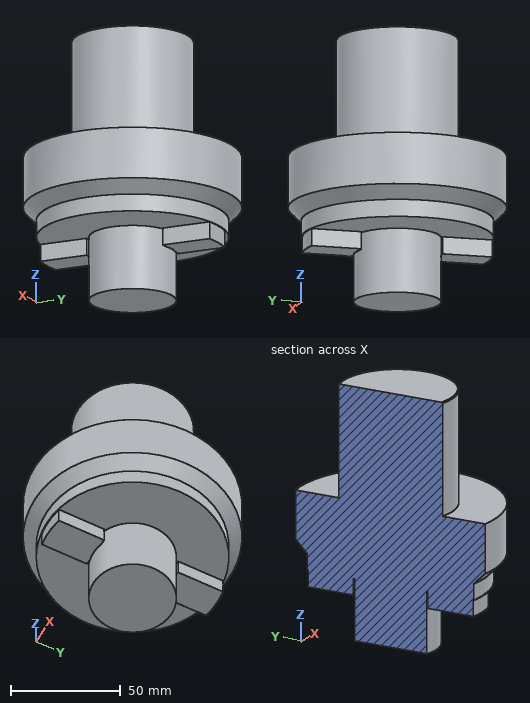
import cadquery as cq

lug_bottom = 22.0
ring_bottom = 30.0
cone_bottom = 38.0
flange_bottom = 44.0
flange_top = 68.0
total_height = 123.0

spigot_diameter = 40.0
ring_diameter = 88.0
flange_diameter = 100.0
shank_diameter = 56.0
shank_chamfer = 0.5

lug_width = 16.0
lug_inner_offset = 19.3
lug_outer_radius = 43.7


def turned_body():
    """Revolve the stepped half profile about the Z axis."""
    spigot_radius = spigot_diameter / 2
    ring_radius = ring_diameter / 2
    flange_radius = flange_diameter / 2
    shank_radius = shank_diameter / 2
    profile = [
        (0, 0),
        (spigot_radius, 0),
        (spigot_radius, ring_bottom),
        (ring_radius, ring_bottom),
        (ring_radius, cone_bottom),
        (flange_radius, flange_bottom),
        (flange_radius, flange_top),
        (shank_radius, flange_top),
        (shank_radius, total_height - shank_chamfer),
        (shank_radius - shank_chamfer, total_height),
        (0, total_height),
    ]
    return cq.Workplane("XZ").polyline(profile).close().revolve(360, (0, 0), (0, 1))


def drive_lug(side):
    """One lug on the +Y (side = 1) or -Y (side = -1) half."""
    lug_height = cone_bottom - lug_bottom
    base = cq.Workplane("XY").workplane(offset=lug_bottom)
    lug_length = lug_outer_radius - lug_inner_offset
    lug_center = side * (lug_inner_offset + lug_length / 2)
    block = base.center(0, lug_center).rect(lug_width, lug_length).extrude(lug_height)
    rounding = base.circle(lug_outer_radius).extrude(lug_height)
    return block.intersect(rounding)


result = turned_body()
for side in (1, -1):
    result = result.union(drive_lug(side))